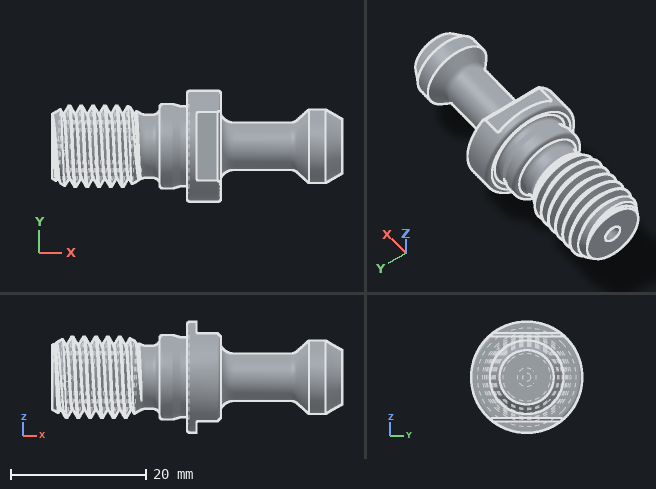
import cadquery as cq
import math

length = 43.0
cone_angle = math.radians(30)
slope_30 = math.tan(cone_angle)
clearance = 0.1

crest_radius = 6.0
root_radius = 4.8
crest_flat = 0.2
first_crest_x = 3.0
last_crest_x = 10.0
pitches_between_crests = 4
pitch = (last_crest_x - first_crest_x) / pitches_between_crests
lead_radius = 4.77
lead_end_x = (crest_radius - lead_radius) / slope_30

relief_radius = 4.7
relief_start_x = 13.85
relief_end_x = 14.88
relief_entry_radius = 1.5
relief_corner_radius = 5.3

collar_x = 15.9
collar_radius = 6.28
collar_rounding = 0.5
collar_taper_x = 17.9

undercut_radius = 5.95
undercut_start_x = 19.05
undercut_arc_x = 19.7
undercut_bottom_x = 20.25
undercut_cone_radius = 6.55
undercut_rim_radius = 7.3

flange_x = 19.95
flange_end_x = 25.03
flange_radius = 8.25
flange_edge = 0.5
flat_x = 21.4
flat_height = 6.55
flat_root_rounding = 0.17

stem_radius = 3.53
stem_start_x = 26.9
stem_end_x = 35.35
stem_root_radius = 4.6
head_rounding = 1.4
head_radius = 5.45
head_end_x = 40.5
head_start_x = 38.0

centre_mouth_radius = 1.38
centre_pilot_radius = 0.6
centre_pilot_length = 1.3


def turned_body():
    entry_x = relief_start_x - relief_entry_radius * math.sin(cone_angle)
    entry_radius = relief_radius + relief_entry_radius * (1 - math.cos(cone_angle))
    runout_x = entry_x - (crest_radius - entry_radius) / slope_30

    neck_angle = math.radians(45)
    neck_x = stem_end_x + head_rounding * math.sin(neck_angle)
    neck_radius = stem_radius + head_rounding * (1 - math.cos(neck_angle))
    tip_radius = head_radius - (length - head_end_x) * slope_30

    root_run = stem_start_x - flange_end_x
    root_rise = stem_root_radius - stem_radius
    stem_root_arc = (root_run**2 + root_rise**2) / (2 * root_rise)

    profile = (
        cq.Workplane("XY")
        .lineTo(0, lead_radius)
        .lineTo(lead_end_x, crest_radius)
        .lineTo(runout_x, crest_radius)
        .lineTo(entry_x, entry_radius)
        .tangentArcPoint((relief_start_x, relief_radius), relative=False)
        .lineTo(relief_end_x, relief_radius)
        .tangentArcPoint((collar_x, relief_corner_radius), relative=False)
        .lineTo(collar_x, collar_radius - collar_rounding)
        .tangentArcPoint((collar_x + collar_rounding, collar_radius), relative=False)
        .lineTo(collar_taper_x, collar_radius)
        .lineTo(undercut_start_x, undercut_radius)
        .lineTo(undercut_arc_x, undercut_radius)
        .tangentArcPoint((undercut_bottom_x, undercut_cone_radius), relative=False)
        .lineTo(flange_x, undercut_rim_radius)
        .lineTo(flange_x, flange_radius - flange_edge)
        .tangentArcPoint((flange_x + flange_edge, flange_radius), relative=False)
        .lineTo(flange_end_x - flange_edge, flange_radius)
        .tangentArcPoint((flange_end_x, flange_radius - flange_edge), relative=False)
        .lineTo(flange_end_x, stem_root_radius)
        .radiusArc((stem_start_x, stem_radius), -stem_root_arc)
        .lineTo(stem_end_x, stem_radius)
        .tangentArcPoint((neck_x, neck_radius), relative=False)
        .lineTo(head_start_x, head_radius)
        .lineTo(head_end_x, head_radius)
        .lineTo(length, tip_radius)
        .lineTo(length, 0)
        .close()
    )
    return profile.revolve(360, (0, 0, 0), (1, 0, 0))


def flat_cutter():
    """Block above the +Z flat, with its root rounded and its outer end breaking the edge at 45 degrees."""
    top = flange_radius + clearance
    return (
        cq.Workplane("XZ")
        .moveTo(flat_x, top)
        .lineTo(flat_x, flat_height + flat_root_rounding)
        .tangentArcPoint((flat_x + flat_root_rounding, flat_height), relative=False)
        .lineTo(flange_end_x - flange_edge, flat_height)
        .lineTo(flange_end_x + clearance, flat_height - flange_edge - clearance)
        .lineTo(flange_end_x + clearance, top)
        .close()
        .extrude(top, both=True)
    )


def thread_groove():
    """Right-hand 60 degree groove, wound about Z and then laid along X."""
    lead_in_turns = 3
    turns = 9
    cutter_radius = crest_radius + clearance
    crest_half_gap = (pitch - crest_flat) / 2
    root_half_gap = crest_half_gap - (crest_radius - root_radius) * slope_30
    cutter_half_gap = crest_half_gap + (cutter_radius - crest_radius) * slope_30

    helix = cq.Workplane(obj=cq.Wire.makeHelix(pitch, pitch * turns, root_radius))
    groove = (
        cq.Workplane("XZ")
        .polyline([
            (root_radius, -root_half_gap),
            (cutter_radius, -cutter_half_gap),
            (cutter_radius, cutter_half_gap),
            (root_radius, root_half_gap),
        ])
        .close()
        .sweep(helix, isFrenet=True)
    )
    start_x = first_crest_x - lead_in_turns * pitch
    return groove.rotate((0, 0, 0), (0, 1, 0), 90).translate((start_x, 0, 0))


def centre_drilling():
    """60 degree countersink, short pilot and 120 degree drill point."""
    pilot_x = (centre_mouth_radius - centre_pilot_radius) / slope_30
    pilot_end_x = pilot_x + centre_pilot_length
    tip_x = pilot_end_x + centre_pilot_radius * slope_30
    return (
        cq.Workplane("XY")
        .lineTo(0, centre_mouth_radius)
        .lineTo(pilot_x, centre_pilot_radius)
        .lineTo(pilot_end_x, centre_pilot_radius)
        .lineTo(tip_x, 0)
        .close()
        .revolve(360, (0, 0, 0), (1, 0, 0))
    )


def threaded_bar():
    """Full-diameter bar, longer than the threaded end at both sides, with the groove cut into it."""
    overhang = 3.45
    bar = cq.Workplane("YZ").workplane(offset=-overhang).circle(crest_radius)
    bar = bar.extrude(collar_x + overhang)
    return bar.cut(thread_groove(), clean=False)


upper_flat = flat_cutter()
blank = (
    turned_body()
    .cut(upper_flat)
    .cut(upper_flat.mirror("XY"))
    .cut(centre_drilling())
)

split_x = (relief_start_x + relief_end_x) / 2
threaded_side = cq.Workplane("YZ").circle(flange_radius).extrude(split_x)
threaded_end = threaded_bar().intersect(blank.intersect(threaded_side), clean=False)
plain_end = blank.cut(threaded_side)
result = plain_end.union(threaded_end)